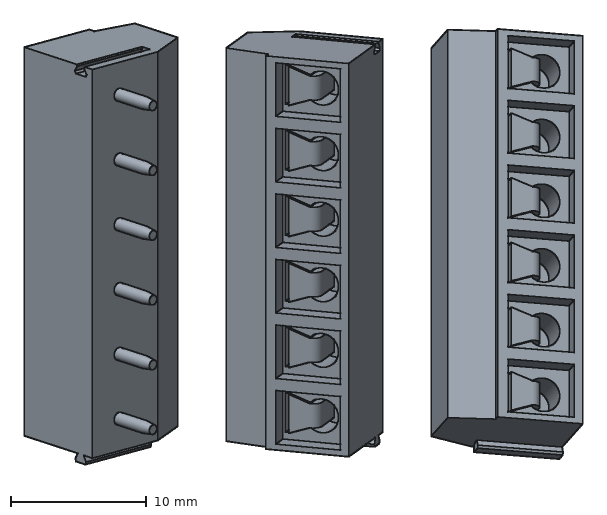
import cadquery as cq
import math

OVERALL_LENGTH = 30.68
POLES = 6
PITCH = 5.0
BODY_LENGTH = POLES * PITCH

BODY_DEPTH = 7.5
BODY_HEIGHT = 10.0
SHOULDER_HEIGHT = 6.5
SHOULDER_LEDGE = 0.55
CROWN_START = 1.15
CROWN_END = 5.85

POCKET_LOW = 0.65
POCKET_HIGH = 5.7
POCKET_WIDTH = 4.08
POCKET_DEPTH = 1.53
WIRE_HOLE_HEIGHT = 2.65
WIRE_HOLE_RADIUS = 1.3
WIRE_HOLE_DEPTH = 3.07

PLATE_PROUD = 0.28
PLATE_HIGH = 5.12
PLATE_LOW = 3.47
PLATE_HIGH_WIDTH = 2.98
TONGUE_WIDTH = 1.85
BEND_RADIUS = 0.67
FLUTE_WIDTH = 0.4
FLUTE_RADIUS = 2.45

JOINT_X = 6.2
KEY_LENGTH = OVERALL_LENGTH - BODY_LENGTH
KEY_ROOT_HALF = 0.35
KEY_HEAD_HALF = 0.58
KEY_END_HALF = 0.52
KEY_HEAD_DROP = 0.45
SLOT_MOUTH_HALF = 0.43
SLOT_NECK_HALF = 0.37
SLOT_HEAD_HALF = 0.65
SLOT_FLOOR_HALF = 0.52
SLOT_NECK_DROP = 0.12
SLOT_HEAD_DROP = 0.55
SLOT_DEPTH = 0.75

PIN_HEIGHT = 2.67
PIN_RADIUS = 0.5
PIN_TIP_RADIUS = 0.37
PIN_LENGTH = 3.7
PIN_TIP_LENGTH = 0.92

FLOOR_X = POCKET_DEPTH
PLATE_X = FLOOR_X - PLATE_PROUD
HOLE_END_X = FLOOR_X + WIRE_HOLE_DEPTH
FLUTE_DEPTH = math.sqrt(FLUTE_RADIUS**2 - (FLUTE_RADIUS - FLUTE_WIDTH) ** 2)


def housing():
    """Solid housing, the cross-section extruded along the row of poles."""
    section = [
        (0, 0),
        (BODY_DEPTH, 0),
        (BODY_DEPTH, SHOULDER_HEIGHT),
        (CROWN_END, BODY_HEIGHT),
        (CROWN_START, BODY_HEIGHT),
        (SHOULDER_LEDGE, SHOULDER_HEIGHT),
        (0, SHOULDER_HEIGHT),
    ]
    return cq.Workplane("XY").polyline(section).close().extrude(BODY_LENGTH)


def dovetail(right_half):
    """Mirror (offset, z) points about JOINT_X and extrude them from the back face to the shoulder."""
    right = [(JOINT_X + offset, z) for offset, z in right_half]
    left = [(JOINT_X - offset, z) for offset, z in reversed(right_half)]
    return cq.Workplane("XZ").polyline(right + left).close().extrude(-SHOULDER_HEIGHT)


def joint_key():
    """Dovetail rib below the housing."""
    return dovetail([
        (KEY_ROOT_HALF, 0),
        (KEY_HEAD_HALF, -KEY_HEAD_DROP),
        (KEY_END_HALF, -KEY_LENGTH),
    ])


def joint_slot():
    """Space for the key of the next block, cut into the top end."""
    return dovetail([
        (SLOT_MOUTH_HALF, BODY_LENGTH),
        (SLOT_NECK_HALF, BODY_LENGTH - SLOT_NECK_DROP),
        (SLOT_HEAD_HALF, BODY_LENGTH - SLOT_HEAD_DROP),
        (SLOT_FLOOR_HALF, BODY_LENGTH - SLOT_DEPTH),
    ])


def wire_entry(z):
    """Space removed for one pole: rectangular pocket, wire hole and flute."""
    pocket = cq.Workplane("XY").box(
        POCKET_DEPTH, POCKET_HIGH - POCKET_LOW, POCKET_WIDTH, centered=(False, False, True)
    ).translate((0, POCKET_LOW, z))
    hole = (
        cq.Workplane("YZ", origin=(FLOOR_X, WIRE_HOLE_HEIGHT, z))
        .circle(WIRE_HOLE_RADIUS)
        .extrude(WIRE_HOLE_DEPTH)
    )
    flute = (
        cq.Workplane("XY", origin=(FLOOR_X, PLATE_HIGH, z))
        .lineTo(0, FLUTE_WIDTH)
        .radiusArc((FLUTE_DEPTH, 0), FLUTE_RADIUS)
        .close()
        .extrude(PLATE_HIGH_WIDTH / 2, both=True)
    )
    return pocket.union(hole).union(flute)


def wire_guard(z):
    """Tapered plate and the bent tongue that reaches the bottom of the wire hole."""
    plate = (
        cq.Workplane("YZ", origin=(PLATE_X, 0, z))
        .polyline([
            (PLATE_HIGH, PLATE_HIGH_WIDTH / 2),
            (PLATE_HIGH, -PLATE_HIGH_WIDTH / 2),
            (PLATE_LOW, -TONGUE_WIDTH / 2),
            (PLATE_LOW, TONGUE_WIDTH / 2),
        ])
        .close()
        .extrude(PLATE_PROUD)
    )
    tongue = (
        cq.Workplane("XY", origin=(0, 0, z))
        .moveTo(PLATE_X, PLATE_LOW)
        .radiusArc((PLATE_X + BEND_RADIUS, PLATE_LOW - BEND_RADIUS), -BEND_RADIUS)
        .lineTo(HOLE_END_X, PLATE_LOW - BEND_RADIUS)
        .lineTo(HOLE_END_X, PLATE_LOW)
        .close()
        .extrude(TONGUE_WIDTH / 2, both=True)
    )
    return plate.union(tongue)


def pin(z):
    """Round solder pin with a tapered tip."""
    half_section = [
        (0, 0),
        (0, PIN_RADIUS),
        (PIN_LENGTH - PIN_TIP_LENGTH, PIN_RADIUS),
        (PIN_LENGTH, PIN_TIP_RADIUS),
        (PIN_LENGTH, 0),
    ]
    return (
        cq.Workplane("XY", origin=(BODY_DEPTH, PIN_HEIGHT, z))
        .polyline(half_section)
        .close()
        .revolve(360, (0, 0, 0), (1, 0, 0))
    )


result = housing().cut(joint_slot()).union(joint_key())
for pole in range(POLES):
    pole_z = (pole + 0.5) * PITCH
    result = result.cut(wire_entry(pole_z)).union(wire_guard(pole_z)).union(pin(pole_z))